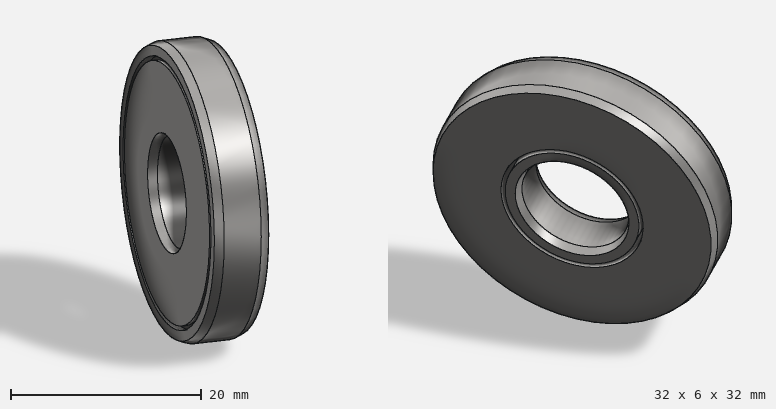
import cadquery as cq


outer_diameter = 32.0
bore_diameter = 12.0
width = 6.0

chamfer_radial = 0.4
chamfer_axial = 0.95

rim_inner_diameter = 29.0

flange_thickness = 0.5
running_gap = 0.48

outer_radius = outer_diameter / 2
bore_radius = bore_diameter / 2
rim_inner_radius = rim_inner_diameter / 2
wall_thickness = outer_radius - rim_inner_radius
hub_radius = bore_radius + wall_thickness
flange_radius = rim_inner_radius - running_gap
web_inner_radius = hub_radius + running_gap

front_y = -width / 2
back_y = width / 2
front_chamfer_y = front_y + chamfer_axial
back_chamfer_y = back_y - chamfer_axial
flange_back_y = front_y + flange_thickness
web_front_y = flange_back_y + running_gap


def revolve_about_axis(profile):
    """Revolve a closed outline of (radius, y) points about the Y axis."""
    return cq.Workplane("XY").polyline(profile).close().revolve(360, (0, 0, 0), (0, 1, 0))


def make_outer_ring():
    """Rim with chamfered outer edges and a web reaching in towards the hub."""
    return revolve_about_axis([
        (rim_inner_radius, front_y),
        (outer_radius - chamfer_radial, front_y),
        (outer_radius, front_chamfer_y),
        (outer_radius, back_chamfer_y),
        (outer_radius - chamfer_radial, back_y),
        (web_inner_radius, back_y),
        (web_inner_radius, web_front_y),
        (rim_inner_radius, web_front_y),
    ])


def make_inner_ring():
    """Hub with a chamfered bore and a thin front flange reaching out towards the rim."""
    return revolve_about_axis([
        (bore_radius + chamfer_radial, front_y),
        (flange_radius, front_y),
        (flange_radius, flange_back_y),
        (hub_radius, flange_back_y),
        (hub_radius, back_y),
        (bore_radius + chamfer_radial, back_y),
        (bore_radius, back_chamfer_y),
        (bore_radius, front_chamfer_y),
    ])


outer_ring = make_outer_ring()
inner_ring = make_inner_ring()

result = cq.Compound.makeCompound([outer_ring.val(), inner_ring.val()])